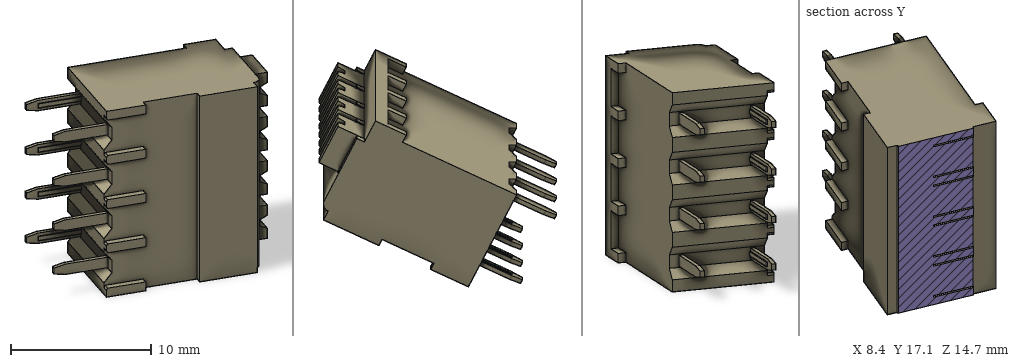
import cadquery as cq


pole_count = 4
pole_pitch = 3.5
height = 14.7
width = 8.4

left_lip_depth = 0.6
left_lip_start_y = 9.07
back_y = 11.52
ridge_y = 12.13
ridge_left_x = 1.78
ridge_right_x = 7.65
right_recess_depth = 0.51
right_recess_start_y = 3.0
right_recess_end_y = 7.12

lip_gap = 2.8
left_lip_solid_y = 10.51
right_tooth_chamfer_y = 0.09
right_tooth_chamfer_z = 0.17

groove_depth = 0.6
groove_floor = 1.0
groove_mouth = 2.4

button_left_x = 1.82
button_right_x = 4.89
button_end_y = 13.62
button_height = 2.64
button_notch_depth = 0.55
button_notch_floor = 0.51
button_notch_mouth = 1.05
button_root_depth = 0.17
slot_chamfer_y = 0.31
slot_chamfer_z = 0.12

left_pin_x = 1.34
right_pin_x = 6.83
pin_thickness = 0.33
pin_height = 0.82
pin_tip_height = 0.46
pin_end_y = -3.53
pin_taper_y = -2.68
pin_root_depth = 0.17
pin_rib_height = 0.35
pin_rib_projection = 0.09

pole_heights = [(i - (pole_count - 1) / 2) * pole_pitch for i in range(pole_count)]


def extrude_along_x(outline_yz, x_start, x_end):
    """Prism with a closed (y, z) outline between two X positions."""
    return cq.Workplane("YZ", origin=(x_start, 0, 0)).polyline(outline_yz).close().extrude(x_end - x_start)


def mirrored_outline(half_outline, z_center):
    """Closed (y, z) outline from (y, half height) points, symmetric about z_center."""
    upper = [(y, z_center + half) for y, half in half_outline]
    lower = [(y, z_center - half) for y, half in reversed(half_outline)]
    return upper + lower


def make_housing():
    corner_radius = ridge_y - back_y
    recess_x = width - right_recess_depth
    outline = (
        cq.Workplane("XY", origin=(0, 0, -height / 2))
        .moveTo(left_lip_depth, 0)
        .lineTo(width, 0)
        .lineTo(width, right_recess_start_y)
        .lineTo(recess_x, right_recess_start_y)
        .lineTo(recess_x, right_recess_end_y)
        .lineTo(width, right_recess_end_y)
        .lineTo(width, back_y)
        .lineTo(ridge_right_x, back_y)
        .radiusArc((ridge_right_x - corner_radius, ridge_y), -corner_radius)
        .lineTo(ridge_left_x, ridge_y)
        .lineTo(ridge_left_x, back_y)
        .lineTo(0, back_y)
        .lineTo(0, left_lip_start_y)
        .lineTo(left_lip_depth, left_lip_start_y)
        .close()
    )
    return outline.extrude(height)


def make_left_lip_gap(z):
    gap = [(left_lip_start_y, lip_gap / 2), (left_lip_solid_y, lip_gap / 2)]
    return extrude_along_x(mirrored_outline(gap, z), 0, left_lip_depth)


def make_right_lip_gap(z):
    gap = [
        (0, lip_gap / 2 + right_tooth_chamfer_z),
        (right_tooth_chamfer_y, lip_gap / 2),
        (right_recess_start_y, lip_gap / 2),
    ]
    return extrude_along_x(mirrored_outline(gap, z), width - right_recess_depth, width)


def make_groove(z):
    groove = [(0, groove_mouth / 2), (groove_depth, groove_floor / 2)]
    return extrude_along_x(mirrored_outline(groove, z), 0, width)


def make_button_slot(z):
    """Opening through the back ridge around one button, with a chamfered mouth."""
    slot = [
        (back_y, lip_gap / 2),
        (ridge_y - slot_chamfer_y, lip_gap / 2),
        (ridge_y, lip_gap / 2 + slot_chamfer_z),
    ]
    return extrude_along_x(mirrored_outline(slot, z), ridge_left_x, button_right_x)


def make_button(z):
    button = [
        (back_y - button_root_depth, button_height / 2),
        (button_end_y, button_height / 2),
        (button_end_y, button_notch_mouth / 2),
        (button_end_y - button_notch_depth, button_notch_floor / 2),
    ]
    return extrude_along_x(mirrored_outline(button, z), button_left_x, button_right_x)


def make_pin(x, z, rib_side):
    """Tapered pin with a low square rib on its +X (rib_side = 1) or -X (rib_side = -1) face."""
    root_y = groove_depth + pin_root_depth
    blade_outline = [
        (root_y, pin_height / 2),
        (pin_taper_y, pin_height / 2),
        (pin_end_y, pin_tip_height / 2),
    ]
    blade = extrude_along_x(mirrored_outline(blade_outline, z), x, x + pin_thickness)

    middle_x = x + pin_thickness / 2
    crest_x = middle_x + rib_side * (pin_thickness / 2 + pin_rib_projection)
    rib_outline = [(root_y, pin_rib_height / 2), (pin_taper_y, pin_rib_height / 2)]
    rib = extrude_along_x(mirrored_outline(rib_outline, z), min(middle_x, crest_x), max(middle_x, crest_x))
    return blade.union(rib)


result = make_housing()
for pole_z in pole_heights:
    result = result.cut(make_left_lip_gap(pole_z))
    result = result.cut(make_right_lip_gap(pole_z))
    result = result.cut(make_groove(pole_z))
    result = result.cut(make_button_slot(pole_z))
    result = result.union(make_button(pole_z))
    result = result.union(make_pin(left_pin_x, pole_z, 1))
    result = result.union(make_pin(right_pin_x, pole_z, -1))